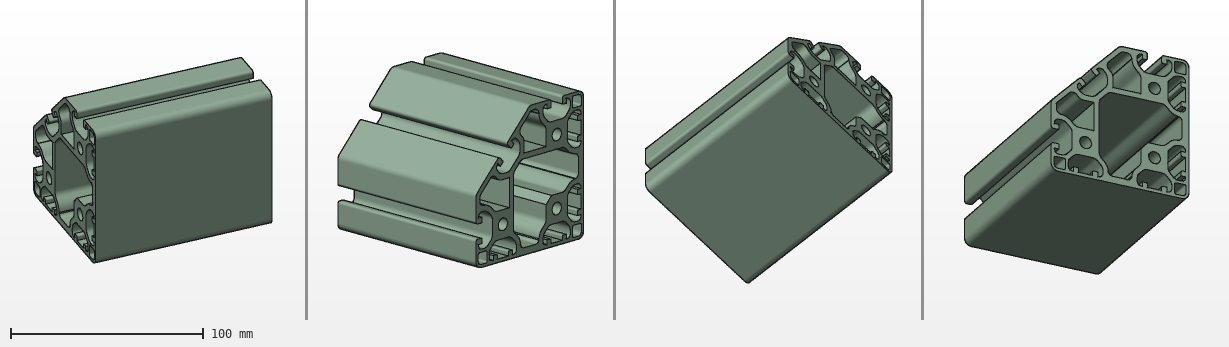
import cadquery as cq
import math

SIDE = 80.0
LENGTH = 100.0
MODULE = SIDE / 2
NEAR = MODULE / 2
FAR = SIDE - NEAR
CORNER_RADIUS = 4.0
CUT_RADIUS = 4.0

MOUTH_HALF = 4.1
LIP_HALF = 7.1
CAVITY_HALF = 10.1
FLOOR_HALF = 5.7
SKIN = 2.0
LIP_DEPTH = 4.6
SLOT_DEPTH = 12.2
SHOULDER_DEPTH = SLOT_DEPTH - (CAVITY_HALF - FLOOR_HALF)
LIP_RADIUS = 1.5
LIP_TIP_RADIUS = 0.8
HOOK_RADIUS = 2.5
CAVITY_RADIUS = 5.0
FLOOR_RADIUS = 4.0

CORE_HALF = 7.9
CORE_BORE = 6.8
CORE_CHAMFER = 4.1
CORE_INNER = NEAR + CORE_HALF

WEB = 3.1
WEB_FACE = NEAR + CAVITY_HALF + WEB
WEB_SHOULDER = SHOULDER_DEPTH + WEB * math.tan(math.pi / 8)
WEB_END = WEB_SHOULDER + WEB_FACE - CORE_INNER
WEB_RADIUS = CAVITY_RADIUS + WEB

CHAMBER_SKIN = 4.0
CHAMBER_RADIUS = 2.5
SIDE_SKIN = 3.0
CUT_SKIN = 2.8
SIDE_CHAMBER_TOP = 44.2
SIDE_CHAMBER_RADIUS = 3.0

CELL_NEAR = 1.7
CELL_FAR = 8.3
CELL_RADIUS = 1.0


def corner_arc(before, corner, after, radius):
    """Start, middle and end of the arc that rounds a corner."""
    x, z = corner[:2]
    angle_in = math.atan2(before[1] - z, before[0] - x)
    angle_out = math.atan2(after[1] - z, after[0] - x)
    half_angle = math.acos(math.cos(angle_out - angle_in)) / 2
    setback = radius / math.tan(half_angle)
    reach = radius / math.sin(half_angle) - radius
    bisector = math.atan2(
        math.sin(angle_in) + math.sin(angle_out),
        math.cos(angle_in) + math.cos(angle_out),
    )

    def step(distance, angle):
        return (x + distance * math.cos(angle), z + distance * math.sin(angle))

    return step(setback, angle_in), step(reach, bisector), step(setback, angle_out)


def prism(corners):
    """Solid whose section runs through (x, z, radius) corners, rounded where radius > 0."""
    path = cq.Workplane("XZ")
    for i, corner in enumerate(corners):
        radius = corner[2]
        after = corners[(i + 1) % len(corners)]
        start, middle, end = corner_arc(corners[i - 1], corner, after, radius)
        path = path.moveTo(*start) if i == 0 else path.lineTo(*start)
        if radius > 0:
            path = path.threePointArc(middle, end)
    return path.close().extrude(-LENGTH)


def mirrored(corners):
    """Corners mirrored about the section's diagonal, in reverse to keep the direction."""
    return [(SIDE - z, SIDE - x, radius) for x, z, radius in reversed(corners)]


def slot_corners(x, z, along_angle, mouth):
    """T-slot centred at (x, z) on a face that runs at along_angle, depth to its right."""
    half = mouth + [
        (MOUTH_HALF, LIP_DEPTH, LIP_TIP_RADIUS),
        (LIP_HALF, LIP_DEPTH, 0),
        (LIP_HALF, SKIN, 0),
        (CAVITY_HALF, SKIN, HOOK_RADIUS),
        (CAVITY_HALF, SHOULDER_DEPTH, CAVITY_RADIUS),
        (FLOOR_HALF, SLOT_DEPTH, FLOOR_RADIUS),
    ]
    profile = [(-s, d, r) for s, d, r in half] + half[::-1]
    cos = math.cos(math.radians(along_angle))
    sin = math.sin(math.radians(along_angle))
    return [(x + s * cos + d * sin, z + s * sin - d * cos, r) for s, d, r in profile]


def open_slot(x, z, along_angle):
    """Slot that opens through the outer face."""
    return slot_corners(x, z, along_angle, [(MOUTH_HALF, 0, LIP_RADIUS)])


def closed_slot(x, z, along_angle):
    """Slot whose mouth is closed by the outer skin."""
    return slot_corners(x, z, along_angle, [(MOUTH_HALF, SKIN, 0)])


def outline():
    """Outer boundary, clockwise, running through the three open slots."""
    return [
        (0, 0, CORNER_RADIUS),
        *open_slot(0, NEAR, 90),
        (0, MODULE, CUT_RADIUS),
        *open_slot(NEAR, FAR, 45),
        (MODULE, SIDE, CUT_RADIUS),
        *open_slot(FAR, SIDE, 0),
        (SIDE, SIDE, CORNER_RADIUS),
        (SIDE, 0, CORNER_RADIUS),
    ]


def main_chamber():
    """Large central void, clockwise from its foot between the two bottom slots."""
    cut_web_rise = MODULE - (SLOT_DEPTH + WEB) * math.sqrt(2)
    left_side = [
        (WEB_FACE, CHAMBER_SKIN, CHAMBER_RADIUS),
        (WEB_FACE, WEB_SHOULDER, WEB_RADIUS),
        (CORE_INNER, WEB_END, FLOOR_RADIUS),
        (CORE_INNER, CORE_INNER + cut_web_rise, FLOOR_RADIUS),
    ]
    core_side = [
        (SIDE - CORE_INNER, CORE_INNER - CORE_CHAMFER, 0),
        (SIDE - CORE_INNER, WEB_END, FLOOR_RADIUS),
        (SIDE - WEB_FACE, WEB_SHOULDER, WEB_RADIUS),
        (SIDE - WEB_FACE, CHAMBER_SKIN, CHAMBER_RADIUS),
    ]
    return left_side + mirrored(left_side) + mirrored(core_side) + core_side


def side_chamber():
    """Void between the left open slot and the slot in the cut face."""
    cut_rise = MODULE - CUT_SKIN * math.sqrt(2)
    slot_web_sum = SIDE - (CAVITY_HALF + WEB) * math.sqrt(2)
    peak_x = (slot_web_sum - cut_rise) / 2
    right = CORE_INNER - WEB
    return [
        (SIDE_SKIN, WEB_FACE, SIDE_CHAMBER_RADIUS),
        (SIDE_SKIN, SIDE_SKIN + cut_rise, SIDE_CHAMBER_RADIUS),
        (peak_x, peak_x + cut_rise, SIDE_CHAMBER_RADIUS),
        (slot_web_sum - SIDE_CHAMBER_TOP, SIDE_CHAMBER_TOP, FLOOR_RADIUS),
        (right, SIDE_CHAMBER_TOP, 0),
        (right, CORE_INNER, 0),
        (WEB_END, CORE_INNER, FLOOR_RADIUS),
        (WEB_SHOULDER, WEB_FACE, WEB_RADIUS),
    ]


def corner_cell(x, z, x_inward, z_inward):
    """Square cell in the outer corner at (x, z), concentric with that corner."""
    cell = [
        (CELL_NEAR, CELL_NEAR, CORNER_RADIUS - CELL_NEAR),
        (CELL_NEAR, CELL_FAR, CELL_RADIUS),
        (CELL_FAR, CELL_FAR, CELL_RADIUS),
        (CELL_FAR, CELL_NEAR, CELL_RADIUS),
    ]
    return [(x + x_inward * u, z + z_inward * v, r) for u, v, r in cell]


def core_bores():
    """Round holes through the three cores."""
    centres = [(NEAR, NEAR), (FAR, NEAR), (FAR, FAR)]
    return cq.Workplane("XZ").pushPoints(centres).circle(CORE_BORE / 2).extrude(-LENGTH)


voids = [
    main_chamber(),
    side_chamber(),
    mirrored(side_chamber()),
    corner_cell(0, 0, 1, 1),
    corner_cell(SIDE, 0, -1, 1),
    corner_cell(SIDE, SIDE, -1, -1),
]
for centre in (NEAR, FAR):
    voids.append(closed_slot(centre, 0, 180))
    voids.append(closed_slot(SIDE, centre, -90))

result = prism(outline())
for void in voids:
    result = result.cut(prism(void))
result = result.cut(core_bores())